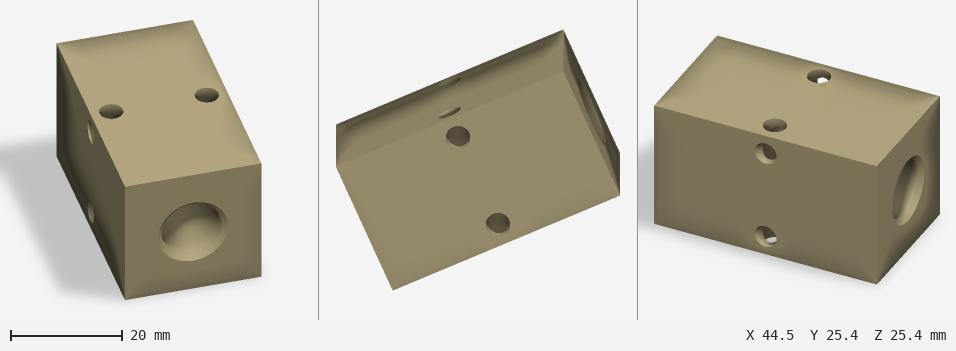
import cadquery as cq

length = 44.45
side = 25.4

bore_diameter = 11.1
countersink_diameter = 12.95
countersink_depth = (countersink_diameter - bore_diameter) / 2

cross_hole_diameter = 4.35
cross_hole_spacing = 17.8


def drill_cross_holes(body, face):
    """Drill a pair of through holes straddling the bore, entering from the given face."""
    return (
        body.faces(face)
        .workplane(origin=(0, 0, 0))
        .rarray(0.45, cross_hole_spacing, 1, 2)
        .hole(cross_hole_diameter)
    )


block = cq.Workplane("XY").box(length, side, side)
bored = block.faces("<X").workplane(origin=(0, 0, 0)).hole(bore_diameter)
countersunk = bored.faces("<X or >X").edges("%CIRCLE").chamfer(countersink_depth)

result = countersunk
for entry_face in ("<Y", ">Z"):
    result = drill_cross_holes(result, entry_face)